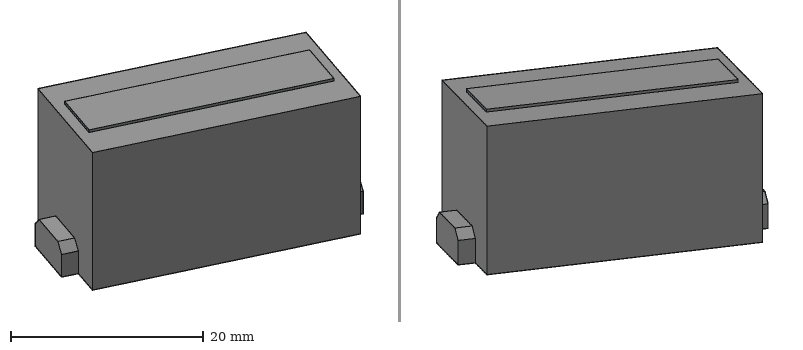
import cadquery as cq

total_length = 34.1
total_height = 16.8

body_width = 14.6
body_length = 30.3
plate_thickness = 0.3
body_height = total_height - plate_thickness

plate_width = 6.5
plate_length = 27.7

tab_width = 7.05
tab_height = 3.75
tab_chamfer = 1.02


def make_body():
    return cq.Workplane("XY").box(body_width, body_length, body_height, centered=(True, True, False))


def make_plate():
    return (
        cq.Workplane("XY", origin=(0, 0, body_height))
        .rect(plate_width, plate_length)
        .extrude(plate_thickness)
    )


def make_tabs():
    """One bar running through the block; its two ends form the tabs."""
    return (
        cq.Workplane("XY")
        .box(tab_width, total_length, tab_height, centered=(True, True, False))
        .faces(">Z")
        .edges("|Y")
        .chamfer(tab_chamfer)
    )


result = make_body().union(make_plate()).union(make_tabs())